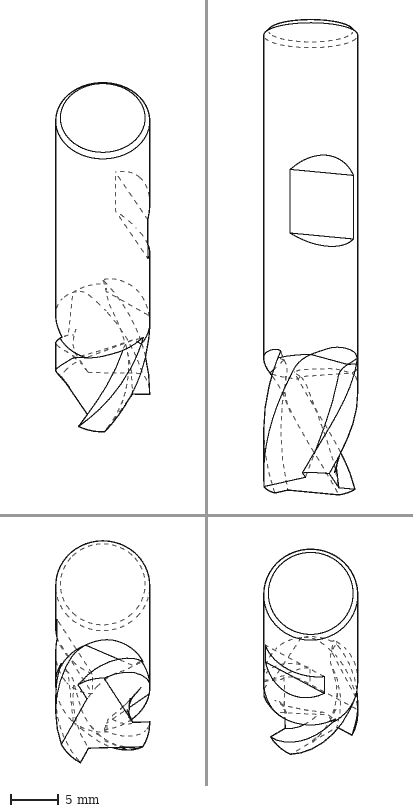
import cadquery as cq
import math

radius = 5.0
length = 50.0
top_chamfer = 0.5
split_height = 13.0

flute_count = 3
helix_angle = 30.0
twist_rate = math.degrees(math.tan(math.radians(helix_angle)) / radius)
floor_distance = 2.75
rake_angle = 30.0
cutter_reach = 8.0

runout_start = 11.6
runout_end = 14.05
cutter_bottom = -1.0
cutter_top = runout_end + 0.15
section_count = 24

flat_depth = 1.5
flat_bottom = 25.0
flat_top = 35.0


def floor_distance_at(z):
    """Distance from the axis to the flute floor, growing as a parabola along the run-out."""
    progress = max(0.0, z - runout_start) / (runout_end - runout_start)
    return floor_distance + (radius - floor_distance) * progress**2


def flute_section(z):
    """Closed flute outline at height z: flat floor facing -Y and radial rake face, turned by the helix."""
    floor = floor_distance_at(z)
    rake_slope = math.tan(math.radians(rake_angle))
    corners = [
        (floor * rake_slope, -floor),
        (-cutter_reach, -floor),
        (-cutter_reach, -cutter_reach),
        (cutter_reach * rake_slope, -cutter_reach),
    ]
    outline = cq.Wire.makePolygon([cq.Vector(x, y, z) for x, y in corners], close=True)
    return outline.rotate(cq.Vector(0, 0, 0), cq.Vector(0, 0, 1), twist_rate * z)


def flute_cutter():
    """Helical flute with its run-out, as one smooth loft."""
    step = (cutter_top - cutter_bottom) / (section_count - 1)
    heights = [cutter_bottom + i * step for i in range(section_count)]
    return cq.Workplane(cq.Solid.makeLoft([flute_section(z) for z in heights]))


def cut_flutes(body):
    """Cut all flutes, evenly spaced around the axis."""
    cutter = flute_cutter()
    for i in range(flute_count):
        body = body.cut(cutter.rotate((0, 0, 0), (0, 0, 1), i * 360.0 / flute_count))
    return body


def make_cutting_head():
    blank = cq.Workplane("XY").circle(radius).extrude(split_height)
    return cut_flutes(blank)


def clamping_flat_cutter():
    """Trapezoidal notch with 45 degree ends, running straight across in X."""
    floor_y = radius - flat_depth
    return (
        cq.Workplane("YZ")
        .moveTo(radius, flat_bottom)
        .lineTo(floor_y, flat_bottom + flat_depth)
        .lineTo(floor_y, flat_top - flat_depth)
        .lineTo(radius, flat_top)
        .close()
        .extrude(radius, both=True)
    )


def make_shank():
    blank = cq.Workplane("XY").workplane(offset=split_height).circle(radius).extrude(length - split_height)
    blank = blank.faces(">Z").chamfer(top_chamfer)
    return cut_flutes(blank).cut(clamping_flat_cutter())


cutting_head = make_cutting_head()
shank = make_shank()

result = cq.Compound.makeCompound([cutting_head.solids().val(), shank.solids().val()])